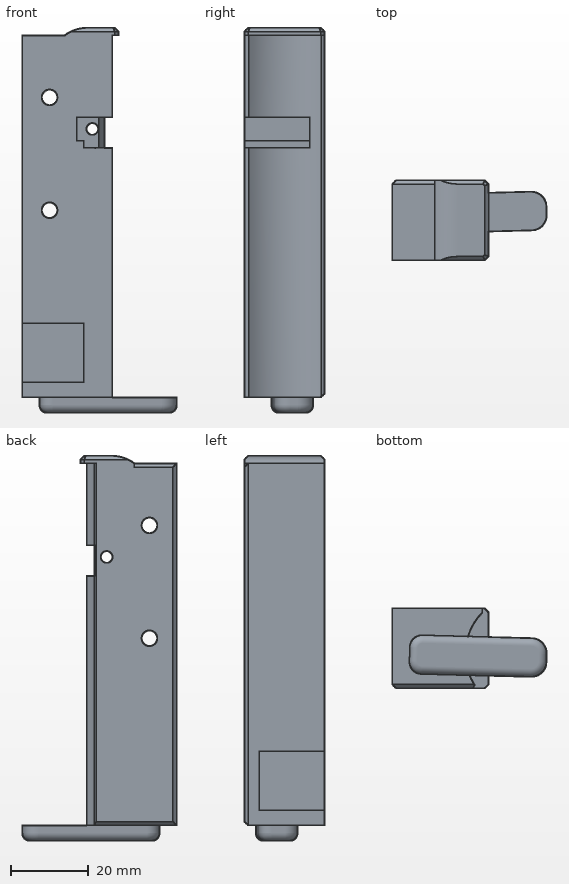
import cadquery as cq
import math


arm_thickness = 4.0
arm_length = 35.2
arm_width = 10.0
arm_pivot_end_radius = 3.2
arm_tip_radius = 4.0
arm_bottom_fillet = 2.0
arm_pivot_to_end = 4.95
arm_angle = 1.5

block_width = 23.2
block_depth = 20.6
block_bottom = arm_thickness
block_top = 97.0
block_height = block_top - block_bottom
chamfer = 1.0

lip_height = 2.0
lip_overhang = 1.6
lip_start = 10.9
lip_flat_start = 16.7
lip_right = block_width + lip_overhang
lip_top = block_top + lip_height

back_wall_thickness = 3.9
cut_depth = block_depth - back_wall_thickness
pocket_width = 15.8
floor_thickness = 4.0
pocket_floor = block_bottom + floor_thickness
pocket_height = 15.1
pivot_hole_diameter = 4.0
pivot_x = 9.4
pivot_y = 12.0

notch_left = 14.1
notch_bottom = 68.1
notch_top = 75.9
notch_step_x = 15.8
notch_step_z = 70.0
notch_hole_diameter = 3.0
notch_hole_x = 18.0
notch_hole_z = 73.0

mount_hole_diameter = 4.0
mount_hole_x = 7.0
mount_hole_heights = [52.1, 81.1]

hollow_radius = 15.0
hollow_axis_x = 33.9
hollow_axis_y = 11.7


def make_block():
    """Upright block, hollowed down its right side, then chamfered around its back face.

    The chamfer along the top edge stops where the lip starts.
    """
    block = (
        cq.Workplane("XY")
        .box(block_width, block_depth, block_height, centered=False)
        .translate((0, 0, block_bottom))
    )
    hollow = (
        cq.Workplane("XY", origin=(hollow_axis_x, hollow_axis_y, block_bottom))
        .circle(hollow_radius)
        .extrude(block_height)
    )
    top_edge_wedge = (
        cq.Workplane("YZ")
        .moveTo(block_depth, block_top)
        .lineTo(block_depth - chamfer, block_top)
        .lineTo(block_depth, block_top - chamfer)
        .close()
        .extrude(lip_start)
    )
    block = block.cut(hollow).faces(">Y").edges("not >Z").chamfer(chamfer)
    return block.cut(top_edge_wedge)


def make_lip():
    """Raised lip with a rounded ramp on its left and chamfers on the other sides."""
    run = lip_flat_start - lip_start
    ramp_radius = (run**2 + lip_height**2) / (2 * lip_height)
    half_angle = math.asin(run / ramp_radius) / 2
    ramp_middle = (
        lip_flat_start - ramp_radius * math.sin(half_angle),
        lip_top - ramp_radius * (1 - math.cos(half_angle)),
    )
    ramp = (
        cq.Workplane("XZ")
        .moveTo(lip_start, block_top)
        .threePointArc(ramp_middle, (lip_flat_start, lip_top))
        .lineTo(lip_right, lip_top)
        .lineTo(lip_right, block_top)
        .close()
        .extrude(-block_depth)
    )
    plate = (
        cq.Workplane("XY")
        .box(lip_right, block_depth, lip_height, centered=False)
        .translate((0, 0, block_top))
        .edges(">X and |Z")
        .chamfer(chamfer)
        .faces(">Z")
        .edges("not <X")
        .chamfer(chamfer)
    )
    return ramp.intersect(plate)


def cut_pocket(housing):
    """Cut the pocket in the lower front left corner and the pivot hole in its floor."""
    pocket = (
        cq.Workplane("XY")
        .box(pocket_width, cut_depth, pocket_height, centered=False)
        .translate((0, 0, pocket_floor))
    )
    pivot_hole = (
        cq.Workplane("XY", origin=(pivot_x, pivot_y, block_bottom))
        .circle(pivot_hole_diameter / 2)
        .extrude(floor_thickness)
    )
    return housing.cut(pocket).cut(pivot_hole)


def cut_notch(housing):
    """Cut the stepped notch from the front and right, back to the rear wall."""
    notch = (
        cq.Workplane("XZ")
        .moveTo(notch_left, notch_top)
        .lineTo(block_width, notch_top)
        .lineTo(block_width, notch_bottom)
        .lineTo(notch_step_x, notch_bottom)
        .lineTo(notch_step_x, notch_step_z)
        .lineTo(notch_left, notch_step_z)
        .close()
        .extrude(-cut_depth)
    )
    return housing.cut(notch)


def cut_through_hole(housing, x, z, diameter):
    """Drill a hole along Y through the whole depth."""
    hole = (
        cq.Workplane("XZ", origin=(x, 0, z))
        .circle(diameter / 2)
        .extrude(-block_depth)
    )
    return housing.cut(hole)


def make_housing():
    housing = make_block().union(make_lip())
    housing = cut_pocket(housing)
    housing = cut_notch(housing)
    housing = cut_through_hole(housing, notch_hole_x, notch_hole_z, notch_hole_diameter)
    for height in mount_hole_heights:
        housing = cut_through_hole(housing, mount_hole_x, height, mount_hole_diameter)
    return housing


def make_arm():
    """Flat arm with rounded ends and a rounded underside, swung about the pivot."""
    arm = (
        cq.Workplane("XY")
        .box(arm_length, arm_width, arm_thickness, centered=(False, True, False))
        .translate((-arm_pivot_to_end, 0, 0))
        .edges("<X and |Z")
        .fillet(arm_pivot_end_radius)
        .edges(">X and |Z")
        .fillet(arm_tip_radius)
        .faces("<Z")
        .edges()
        .fillet(arm_bottom_fillet)
    )
    return arm.rotate((0, 0, 0), (0, 0, 1), arm_angle).translate((pivot_x, pivot_y, 0))


housing = make_housing()
arm = make_arm()

result = cq.Compound.makeCompound([housing.val(), arm.val()])